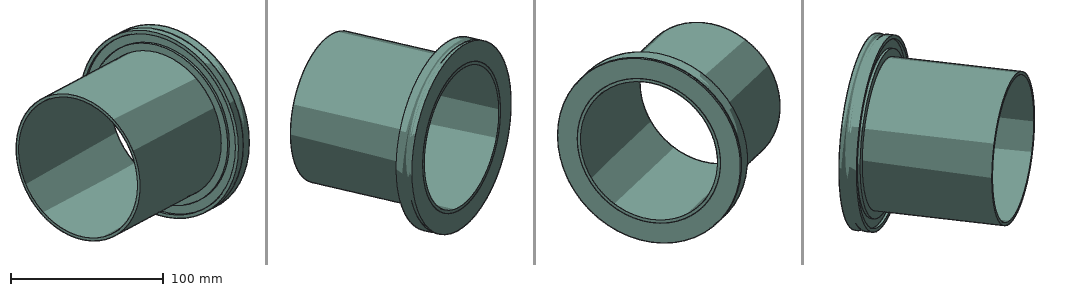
import cadquery as cq

flange_diameter = 130.0
overall_length = 100.0
flange_thickness = 12.0

tube_outer_diameter = 101.7
tube_inner_diameter = 97.4

bore_diameter = 101.9

face_groove_outer_diameter = 125.0
face_groove_inner_diameter = 112.3
face_groove_depth = 2.0

rim_groove_start = 1.8
rim_groove_width = 5.3
rim_groove_depth = 1.4
hollow_width = 2.5

flange_front = overall_length - flange_thickness


def ring(outer_diameter, inner_diameter, start, length):
    """Plain ring around the Y axis, from Y = start to Y = start + length."""
    return (
        cq.Workplane("XZ", origin=(0, start, 0))
        .circle(outer_diameter / 2)
        .circle(inner_diameter / 2)
        .extrude(-length)
    )


def make_flange_blank():
    """Flange with its rim groove, revolved from a half section around the Y axis."""
    rim = flange_diameter / 2
    bore = bore_diameter / 2
    groove_back = overall_length - rim_groove_start
    groove_front = groove_back - rim_groove_width
    lip_width = (rim_groove_width - hollow_width) / 2
    lip_depth = rim_groove_depth * lip_width / (rim_groove_width / 2)
    return (
        cq.Workplane("XY")
        .moveTo(bore, overall_length)
        .lineTo(rim, overall_length)
        .lineTo(rim, groove_back)
        .tangentArcPoint((rim - lip_depth, groove_back - lip_width), relative=False)
        .tangentArcPoint((rim - lip_depth, groove_front + lip_width), relative=False)
        .tangentArcPoint((rim, groove_front), relative=False)
        .lineTo(rim, flange_front)
        .lineTo(bore, flange_front)
        .close()
        .revolve(360, (0, 0, 0), (0, 1, 0))
    )


def make_flange():
    face_groove = ring(
        face_groove_outer_diameter,
        face_groove_inner_diameter,
        flange_front,
        face_groove_depth,
    )
    return make_flange_blank().cut(face_groove)


def make_tube():
    return ring(tube_outer_diameter, tube_inner_diameter, 0, overall_length)


flange = make_flange()
tube = make_tube()
result = cq.Compound.makeCompound([flange.val(), tube.val()])